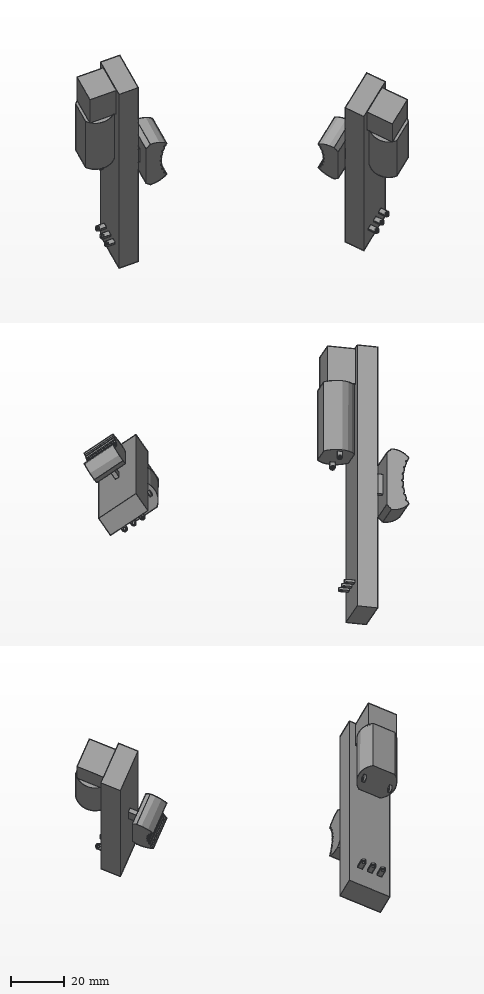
import cadquery as cq
import math


housing_width = 17.0
housing_depth = 8.0
housing_length = 106.5

gearbox_width = 11.9
gearbox_depth = 10.9
gearbox_height = 14.3
gearbox_drop = 0.5
motor_diameter = 15.1
motor_depth = 12.0
motor_length = 28.2
gearbox_bottom = housing_length - gearbox_drop - gearbox_height
motor_bottom = gearbox_bottom - motor_length

lug_width = 2.0
lug_hole_diameter = 1.0
motor_lug_length = 3.0
motor_lug_thickness = 1.0
motor_lug_spacing = 10.9
track_lug_length = 3.9
track_lug_thickness = 1.0
track_lug_pitch = 4.0
track_lug_height = 11.4
track_lug_count = 3

slider_height = 54.0
stem_width = 1.7
stem_depth = 4.0
stem_length = 8.0

knob_width = 13.1
knob_depth = 8.6
knob_length = 24.7
knob_chamfer = 1.8
knob_end_radius = 8.4
tip_half_length = 9.4
finger_radius = 21.0
groove_diameter = 1.0
groove_pitch = 2.7
groove_count = 7


def centred_offsets(count, pitch):
    """Positions of evenly spaced items, centred on zero."""
    return [(i - (count - 1) / 2) * pitch for i in range(count)]


def make_lug(length, thickness):
    """Lug with its root at the origin, pointing along -Y and flat in XY."""
    tip_radius = lug_width / 2
    tip_centre = -(length - tip_radius)
    return (
        cq.Workplane("XY", origin=(0, 0, -thickness / 2))
        .moveTo(-tip_radius, 0)
        .lineTo(-tip_radius, tip_centre)
        .threePointArc((0, -length), (tip_radius, tip_centre))
        .lineTo(tip_radius, 0)
        .close()
        .extrude(thickness)
        .cut(
            cq.Workplane("XY", origin=(0, tip_centre, -thickness / 2))
            .circle(lug_hole_diameter / 2)
            .extrude(thickness)
        )
    )


def make_motor():
    """Round motor can with flats facing the housing and away from it."""
    axis_y = -motor_depth / 2
    can = (
        cq.Workplane("XY", origin=(0, axis_y, motor_bottom))
        .circle(motor_diameter / 2)
        .extrude(motor_length)
    )
    between_flats = (
        cq.Workplane("XY", origin=(0, axis_y, motor_bottom))
        .rect(motor_diameter, motor_depth)
        .extrude(motor_length)
    )
    motor = can.intersect(between_flats)

    lug = (
        make_lug(motor_lug_length, motor_lug_thickness)
        .rotate((0, 0, 0), (1, 0, 0), 90)
        .rotate((0, 0, 0), (0, 0, 1), 90)
    )
    for x in centred_offsets(2, motor_lug_spacing):
        motor = motor.union(lug.translate((x, axis_y, motor_bottom)))
    return motor


def make_fader():
    """Housing with gearbox, motor, track lugs and slider stem."""
    fader = cq.Workplane("XY").box(
        housing_width, housing_depth, housing_length, centered=(True, False, False)
    )
    gearbox = (
        cq.Workplane("XY", origin=(0, -gearbox_depth / 2, gearbox_bottom))
        .rect(gearbox_width, gearbox_depth)
        .extrude(gearbox_height)
    )
    stem = cq.Workplane("XY", origin=(0, housing_depth, slider_height)).box(
        stem_width, stem_depth, stem_length, centered=(True, False, True)
    )
    fader = fader.union(gearbox).union(make_motor()).union(stem)

    track_lug = make_lug(track_lug_length, track_lug_thickness)
    for x in centred_offsets(track_lug_count, track_lug_pitch):
        fader = fader.union(track_lug.translate((x, 0, track_lug_height)))
    return fader


def make_knob():
    """Knob with chamfered base, rounded ends and a grooved finger rest."""
    base_y = housing_depth + stem_depth
    tip_y = base_y + knob_depth
    shoulder_y = base_y + knob_chamfer
    half_length = knob_length / 2
    base_half_length = half_length - knob_chamfer

    rest_axis_y = tip_y + math.sqrt(finger_radius**2 - tip_half_length**2)

    profile = (
        cq.Workplane("YZ", origin=(-knob_width / 2, 0, slider_height))
        .moveTo(base_y, -base_half_length)
        .lineTo(shoulder_y, -half_length)
        .radiusArc((tip_y, -tip_half_length), -knob_end_radius)
        .threePointArc((rest_axis_y - finger_radius, 0), (tip_y, tip_half_length))
        .radiusArc((shoulder_y, half_length), -knob_end_radius)
        .lineTo(base_y, base_half_length)
        .close()
    )
    knob = profile.extrude(knob_width)

    for arc_length in centred_offsets(groove_count, groove_pitch):
        angle = arc_length / finger_radius
        groove_y = rest_axis_y - finger_radius * math.cos(angle)
        groove_z = slider_height + finger_radius * math.sin(angle)
        groove = (
            cq.Workplane("YZ", origin=(-knob_width / 2, groove_y, groove_z))
            .circle(groove_diameter / 2)
            .extrude(knob_width)
        )
        knob = knob.cut(groove)
    return knob


fader = make_fader()
knob = make_knob()

result = cq.Compound.makeCompound([fader.val(), knob.val()])